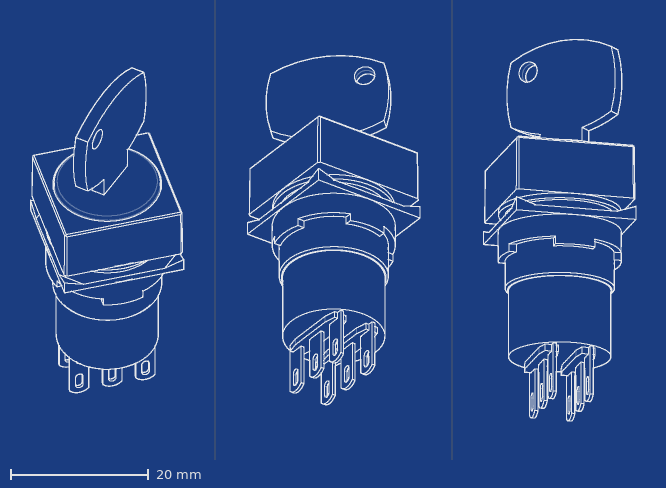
import cadquery as cq
import math

BARREL_BOTTOM = 7.95
SLEEVE_BOTTOM = 18.0
NUT_TEETH_BOTTOM = 22.4
NUT_BOTTOM = 23.6
FLANGE_BOTTOM = 26.9
FLANGE_TOP = 27.9
FLANGE_CORNER_TOP = 28.9
COLLAR_BOTTOM = 29.4
CAP_BOTTOM = 30.15
CAP_TOP = 38.25
DIAL_TOP = 38.75
KEY_TOP = 55.6

BARREL_RADIUS = 7.45
SLEEVE_RADIUS = 7.95
SLEEVE_CHAMFER = 0.35
COLLAR_RADIUS = 8.9
CAP_SIDE = 17.9
CAP_DRAFT_ANGLE = 0.7
CAP_CORNER_CHAMFER = 0.35
CAP_TOP_CHAMFER_DROP = 0.3
CAP_TOP_CHAMFER_INSET = 0.2

TERMINAL_PITCH = 5.0
TERMINAL_WIDTH = 2.9
TERMINAL_THICKNESS = 0.5
TERMINAL_TIP_SAG = 0.65
SLOT_WIDTH = 1.1
SLOT_LENGTH = 2.65
SLOT_BOTTOM = 1.0
PAD_OFFSET = 2.8
PAD_WIDTH = 2.8
PAD_LENGTH = 11.25
PAD_HEIGHT = 1.0
PAD_CORNER_WIDTH = 0.4
PAD_CORNER_LENGTH = 1.9

FLANGE_SIDE = 18.0
FLANGE_CORNER_LEG = 2.9
NUT_RADIUS = 8.95
TOOTH_WIDTH = 5.95

DIAL_RADIUS = 7.75
DIAL_FILLET = 0.45
DIAL_CLEARANCE = 0.15
RECESS_DEPTH = 1.0
KEY_THICKNESS = 2.0
KEY_ANGLE = -45
KEY_OFFSET = -0.8
STEM_WIDTH = 7.05
HEAD_WIDTH = 18.1
HEAD_CORNER_WIDTH = 16.75
HEAD_CORNER_DROP = 2.1
HEAD_CORNER_HEIGHT = 9.85
KEY_HOLE_DIAMETER = 3.0
KEY_HOLE_OFFSET = 5.5
KEY_HOLE_HEIGHT = 51.65

RECESS_FLOOR = CAP_TOP - RECESS_DEPTH


def cylinder(radius, bottom, top):
    return cq.Workplane("XY").workplane(offset=bottom).circle(radius).extrude(top - bottom)


def make_cap():
    """Square cap, narrowing slightly upward, with bevelled corners and top rim."""
    cap = (
        cq.Workplane("XY").workplane(offset=CAP_BOTTOM).rect(CAP_SIDE, CAP_SIDE)
        .extrude(CAP_TOP - CAP_BOTTOM, taper=CAP_DRAFT_ANGLE)
    )
    cap = cap.faces(">Z").edges().chamfer(CAP_TOP_CHAMFER_DROP, CAP_TOP_CHAMFER_INSET)
    bevel_side = (CAP_SIDE - CAP_CORNER_CHAMFER) * math.sqrt(2)
    corner_limit = (
        cq.Workplane("XY").workplane(offset=CAP_BOTTOM).rect(bevel_side, bevel_side)
        .extrude(CAP_TOP - CAP_BOTTOM, taper=CAP_DRAFT_ANGLE)
        .rotate((0, 0, 0), (0, 0, 1), 45)
    )
    return cap.intersect(corner_limit)


def make_pad(x):
    """Low pad under the barrel with its four corners cut off at a slant."""
    half_width = PAD_WIDTH / 2
    half_length = PAD_LENGTH / 2
    end_half_width = half_width - PAD_CORNER_WIDTH
    side_half_length = half_length - PAD_CORNER_LENGTH
    return (
        cq.Workplane("XY").workplane(offset=BARREL_BOTTOM - PAD_HEIGHT).center(x, 0)
        .moveTo(half_width, -side_half_length)
        .lineTo(half_width, side_half_length)
        .lineTo(end_half_width, half_length)
        .lineTo(-end_half_width, half_length)
        .lineTo(-half_width, side_half_length)
        .lineTo(-half_width, -side_half_length)
        .lineTo(-end_half_width, -half_length)
        .lineTo(end_half_width, -half_length)
        .close()
        .extrude(PAD_HEIGHT)
    )


def make_terminal(x, y):
    """Flat solder tag with a round tip and a slotted eye; its +X face lies at x."""
    half_width = TERMINAL_WIDTH / 2
    blade = (
        cq.Workplane("YZ").workplane(offset=x - TERMINAL_THICKNESS).center(y, 0)
        .moveTo(-half_width, BARREL_BOTTOM)
        .lineTo(-half_width, TERMINAL_TIP_SAG)
        .threePointArc((0, 0), (half_width, TERMINAL_TIP_SAG))
        .lineTo(half_width, BARREL_BOTTOM)
        .close()
        .extrude(TERMINAL_THICKNESS)
    )
    eye = (
        cq.Workplane("YZ").workplane(offset=x - TERMINAL_THICKNESS)
        .center(y, SLOT_BOTTOM + SLOT_LENGTH / 2)
        .slot2D(SLOT_LENGTH, SLOT_WIDTH, 90)
        .extrude(TERMINAL_THICKNESS)
    )
    return blade.cut(eye)


def make_housing():
    sleeve = cylinder(SLEEVE_RADIUS, SLEEVE_BOTTOM, COLLAR_BOTTOM)
    sleeve = sleeve.faces("<Z").edges().chamfer(SLEEVE_CHAMFER)
    housing = (
        make_cap()
        .union(cylinder(COLLAR_RADIUS, COLLAR_BOTTOM, CAP_BOTTOM))
        .union(sleeve)
        .union(cylinder(BARREL_RADIUS, BARREL_BOTTOM, SLEEVE_BOTTOM))
    )
    for x in (-PAD_OFFSET, PAD_OFFSET):
        housing = housing.union(make_pad(x))
        for row in (-1, 0, 1):
            housing = housing.union(make_terminal(x, row * TERMINAL_PITCH))
    return housing.cut(cylinder(DIAL_RADIUS + DIAL_CLEARANCE, RECESS_FLOOR, CAP_TOP))


def make_corner_trough(angle):
    """Flat-bottomed trough with sloping sides that rise to two opposite flange corners."""
    corner_reach = FLANGE_SIDE / math.sqrt(2)
    flat_reach = corner_reach - FLANGE_CORNER_LEG / math.sqrt(2)
    return (
        cq.Workplane("XZ")
        .moveTo(-flat_reach, FLANGE_TOP)
        .lineTo(flat_reach, FLANGE_TOP)
        .lineTo(corner_reach, FLANGE_CORNER_TOP)
        .lineTo(-corner_reach, FLANGE_CORNER_TOP)
        .close()
        .extrude(FLANGE_SIDE, both=True)
        .rotate((0, 0, 0), (0, 0, 1), angle)
    )


def make_flange():
    """Square flange whose four corners slope upward from a flat middle."""
    flange = (
        cq.Workplane("XY").workplane(offset=FLANGE_BOTTOM).rect(FLANGE_SIDE, FLANGE_SIDE)
        .extrude(FLANGE_CORNER_TOP - FLANGE_BOTTOM)
    )
    return flange.cut(make_corner_trough(45).intersect(make_corner_trough(135)))


def make_mounting_nut():
    """Flange and castellated ring around the sleeve."""
    teeth_height = NUT_BOTTOM - NUT_TEETH_BOTTOM
    cross = (
        cq.Workplane("XY").workplane(offset=NUT_TEETH_BOTTOM)
        .rect(2 * NUT_RADIUS, TOOTH_WIDTH).extrude(teeth_height)
        .union(
            cq.Workplane("XY").workplane(offset=NUT_TEETH_BOTTOM)
            .rect(TOOTH_WIDTH, 2 * NUT_RADIUS).extrude(teeth_height)
        )
    )
    teeth = cross.intersect(cylinder(NUT_RADIUS, NUT_TEETH_BOTTOM, NUT_BOTTOM))
    bore = cylinder(SLEEVE_RADIUS, NUT_TEETH_BOTTOM, FLANGE_CORNER_TOP)
    ring = cylinder(NUT_RADIUS, NUT_BOTTOM, FLANGE_BOTTOM)
    return make_flange().union(ring).union(teeth).cut(bore)


def make_key():
    """Key with a barrel-shaped head, standing upright across the dial."""
    half_stem = STEM_WIDTH / 2
    half_head = HEAD_WIDTH / 2
    half_corner = HEAD_CORNER_WIDTH / 2
    corner_top = KEY_TOP - HEAD_CORNER_DROP
    corner_bottom = corner_top - HEAD_CORNER_HEIGHT
    head_middle = (corner_top + corner_bottom) / 2
    head_bottom = corner_bottom - HEAD_CORNER_DROP
    head = (
        cq.Workplane("XZ")
        .moveTo(-half_corner, corner_bottom)
        .threePointArc((-half_head, head_middle), (-half_corner, corner_top))
        .threePointArc((0, KEY_TOP), (half_corner, corner_top))
        .threePointArc((half_head, head_middle), (half_corner, corner_bottom))
        .threePointArc((0, head_bottom), (-half_corner, corner_bottom))
        .close()
        .extrude(KEY_THICKNESS / 2, both=True)
    )
    stem = (
        cq.Workplane("XY").workplane(offset=DIAL_TOP).rect(STEM_WIDTH, KEY_THICKNESS)
        .extrude(head_middle - DIAL_TOP)
    )
    hole = (
        cq.Workplane("XZ").center(KEY_HOLE_OFFSET, KEY_HOLE_HEIGHT)
        .circle(KEY_HOLE_DIAMETER / 2).extrude(KEY_THICKNESS, both=True)
    )
    key = head.union(stem).cut(hole).translate((KEY_OFFSET, 0, 0))
    return key.rotate((0, 0, 0), (0, 0, 1), KEY_ANGLE)


def make_rotor():
    """Dial with the key standing on it."""
    dial = cylinder(DIAL_RADIUS, RECESS_FLOOR, DIAL_TOP)
    dial = dial.faces(">Z").edges().fillet(DIAL_FILLET)
    return dial.union(make_key())


housing = make_housing()
mounting_nut = make_mounting_nut()
rotor = make_rotor()
result = cq.Compound.makeCompound([housing.val(), mounting_nut.val(), rotor.val()])